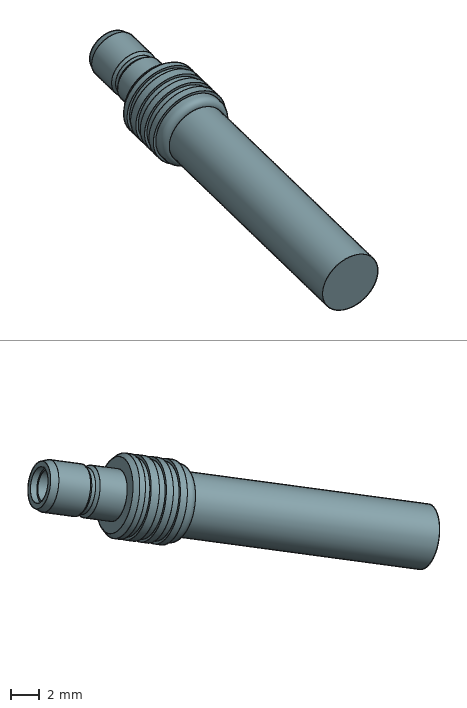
import cadquery as cq
import math

total_length = 30.3
nose_length = 5.93
collar_end = 11.0

nose_radius = 1.85
collar_radius = 3.0
groove_floor_radius = 2.8
collar_fillet = 0.5
sleeve_radius = groove_floor_radius - collar_fillet

lead_in_length = 0.55
lead_in_radius = 1.67

snap_start = 3.05
snap_floor_start = 3.25
snap_floor_end = 3.55
snap_end = 3.8
snap_floor_radius = 1.65

collar_chamfer_length = 0.37
collar_chamfer_height = 0.3
grip_grooves = [(6.75, 0.45), (7.85, 0.55), (8.95, 0.55)]
rear_land_start = 10.05

mouth_radius = 1.28
mouth_depth = 0.5
socket_radius = 1.13
socket_depth = 5.0
pin_radius = 0.25
pin_tip_start = 2.0
pin_chamfer = 0.15


def cylinder(start, end, radius):
    """Cylinder on the X axis between two stations."""
    return cq.Workplane("YZ", origin=(start, 0, 0)).circle(radius).extrude(end - start)


def revolve_about_axis(outline):
    """Turn a closed outline drawn in the XY plane about the X axis."""
    return outline.close().revolve(360, (0, 0, 0), (1, 0, 0))


def make_nose():
    outline = cq.Workplane("XY").polyline([
        (0, 0),
        (0, lead_in_radius),
        (lead_in_length, nose_radius),
        (snap_start, nose_radius),
        (snap_floor_start, snap_floor_radius),
        (snap_floor_end, snap_floor_radius),
        (snap_end, nose_radius),
        (nose_length, nose_radius),
        (nose_length, 0),
    ])
    return revolve_about_axis(outline)


def make_collar():
    fillet_start = collar_end - collar_fillet
    arc_offset = collar_fillet * math.sqrt(0.5)
    outline = (
        cq.Workplane("XY")
        .moveTo(nose_length, 0)
        .lineTo(nose_length, collar_radius - collar_chamfer_height)
        .lineTo(nose_length + collar_chamfer_length, collar_radius)
        .lineTo(rear_land_start, collar_radius)
        .lineTo(rear_land_start, groove_floor_radius)
        .lineTo(fillet_start, groove_floor_radius)
        .threePointArc(
            (fillet_start + arc_offset, sleeve_radius + arc_offset),
            (collar_end, sleeve_radius),
        )
        .lineTo(collar_end, 0)
    )
    return revolve_about_axis(outline)


def cut_grip_grooves(body):
    for start, width in grip_grooves:
        ring = cylinder(start, start + width, collar_radius).cut(
            cylinder(start, start + width, groove_floor_radius)
        )
        body = body.cut(ring)
    return body


def cut_socket(body):
    body = body.cut(cylinder(0, mouth_depth, mouth_radius))
    return body.cut(cylinder(0, socket_depth, socket_radius))


def make_pin():
    pin = cylinder(pin_tip_start, socket_depth, pin_radius)
    return pin.faces("<X").chamfer(pin_chamfer)


sleeve = cylinder(nose_length, total_length, sleeve_radius)
collar = cut_grip_grooves(make_collar())
nose = make_nose()
body = cut_socket(nose.union(collar).union(sleeve))
result = body.union(make_pin())